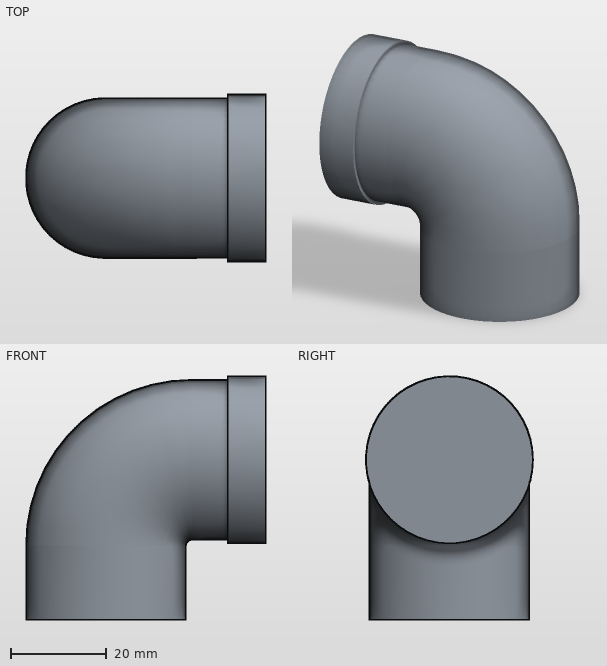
import cadquery as cq

pipe_diameter = 33.5
collar_diameter = 35.0
collar_length = 8.0
center_to_end = 33.5
bend_radius = 18.0
bend_angle = 90.0

pipe_radius = pipe_diameter / 2
leg_length = center_to_end - bend_radius


def make_lower_leg():
    """Straight leg from the lower end face up to the start of the bend."""
    return (
        cq.Workplane("XY", origin=(0, 0, -center_to_end))
        .circle(pipe_radius)
        .extrude(leg_length)
    )


def make_bend():
    """Quarter torus turning the pipe from +Z to +X about an axis parallel to Y."""
    return (
        cq.Workplane("XY", origin=(0, 0, -bend_radius))
        .circle(pipe_radius)
        .revolve(bend_angle, (bend_radius, 0, 0), (bend_radius, 1, 0))
    )


def make_side_leg():
    """Straight leg from the end of the bend to the +X end face."""
    return (
        cq.Workplane("YZ", origin=(bend_radius, 0, 0))
        .circle(pipe_radius)
        .extrude(leg_length)
    )


def make_collar():
    """Wider band around the end of the side leg."""
    return (
        cq.Workplane("YZ", origin=(center_to_end - collar_length, 0, 0))
        .circle(collar_diameter / 2)
        .extrude(collar_length)
    )


result = make_lower_leg().union(make_bend()).union(make_side_leg()).union(make_collar())